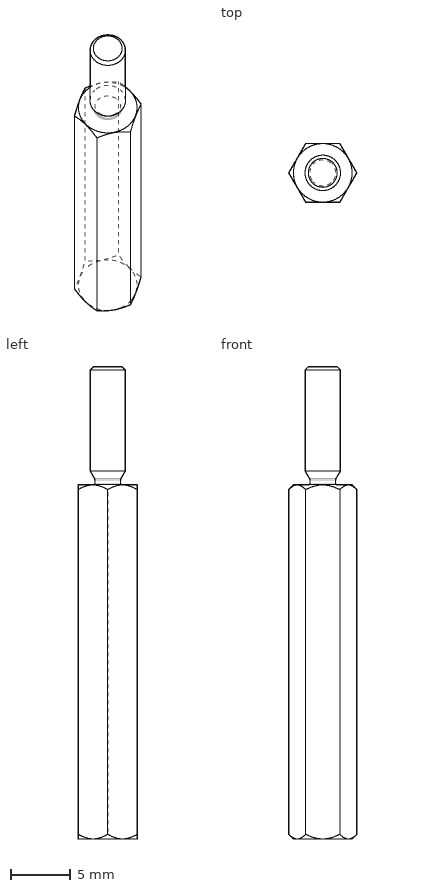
import cadquery as cq
import math

across_flats = 5.0
across_corners = across_flats / math.cos(math.pi / 6)
body_length = 30.0
end_face_diameter = 4.95
corner_chamfer = (across_corners - end_face_diameter) / 2

total_length = 40.0
stud_radius = 3.0 / 2
tip_radius = 2.45 / 2
tip_chamfer = stud_radius - tip_radius

neck_radius = 2.2 / 2
undercut_length = 1.15
undercut_angle = math.radians(30)
taper_length = (stud_radius - neck_radius) / math.tan(undercut_angle)
root_fillet = 0.1
taper_fillet = 0.3


def make_body():
    """Hexagonal bar with its corners turned off by a 45 degree cone at both ends."""
    bar = cq.Workplane("XY").polygon(6, across_corners).extrude(body_length)
    turned_envelope = (
        cq.Workplane("XY")
        .circle(across_corners / 2)
        .extrude(body_length)
        .edges()
        .chamfer(corner_chamfer)
    )
    return bar.intersect(turned_envelope)


def make_stud():
    """Revolved stud: root fillet, neck, blend arc, taper, shank and chamfered tip."""
    undercut_top = body_length + undercut_length
    taper_bottom = undercut_top - taper_length
    blend_tangent = taper_fillet * math.tan(undercut_angle / 2)
    blend_center_radius = neck_radius + taper_fillet
    return (
        cq.Workplane("XZ")
        .moveTo(0, body_length)
        .lineTo(neck_radius + root_fillet, body_length)
        .radiusArc((neck_radius, body_length + root_fillet), root_fillet)
        .lineTo(neck_radius, taper_bottom - blend_tangent)
        .radiusArc(
            (
                blend_center_radius - taper_fillet * math.cos(undercut_angle),
                taper_bottom - blend_tangent + taper_fillet * math.sin(undercut_angle),
            ),
            taper_fillet,
        )
        .lineTo(stud_radius, undercut_top)
        .lineTo(stud_radius, total_length - tip_chamfer)
        .lineTo(tip_radius, total_length)
        .lineTo(0, total_length)
        .close()
        .revolve(360, (0, 0, 0), (0, 1, 0))
    )


result = make_body().union(make_stud())